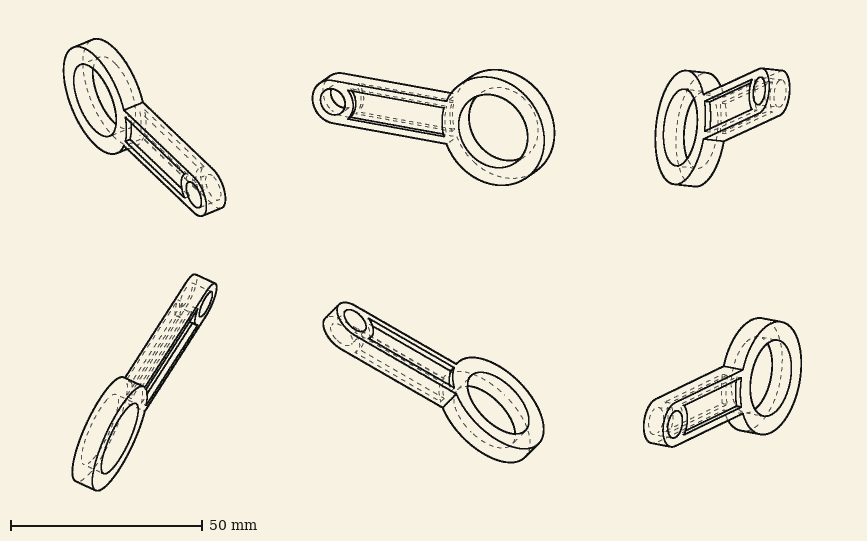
import cadquery as cq

length = 68.0
thickness = 6.0
ring_diameter = 30.0
ring_bore = 20.2
arm_width = 12.0
pin_bore = 7.2
pocket_width = 8.0
pocket_depth = 1.5

ring_x = (ring_diameter - length) / 2
eye_x = (length - arm_width) / 2
arm_length = eye_x - ring_x
arm_middle_x = (ring_x + eye_x) / 2


def disc(x, diameter, height):
    """Disc with its axis along Y, centred on the plane Y = 0."""
    return cq.Workplane("XZ").center(x, 0).circle(diameter / 2).extrude(height / 2, both=True)


def arm_bar(width, height):
    """Straight bar joining the ring centre to the eye centre."""
    return cq.Workplane("XY").box(arm_length, height, width).translate((arm_middle_x, 0, 0))


ends = disc(ring_x, ring_diameter, thickness).union(disc(eye_x, arm_width, thickness))

pocket_space = arm_bar(pocket_width, thickness)
web = arm_bar(pocket_width, thickness - 2 * pocket_depth)
arm = arm_bar(arm_width, thickness).cut(pocket_space).union(web)

result = ends.union(arm)

result = result.cut(disc(ring_x, ring_bore, thickness))
result = result.cut(disc(eye_x, pin_bore, thickness))